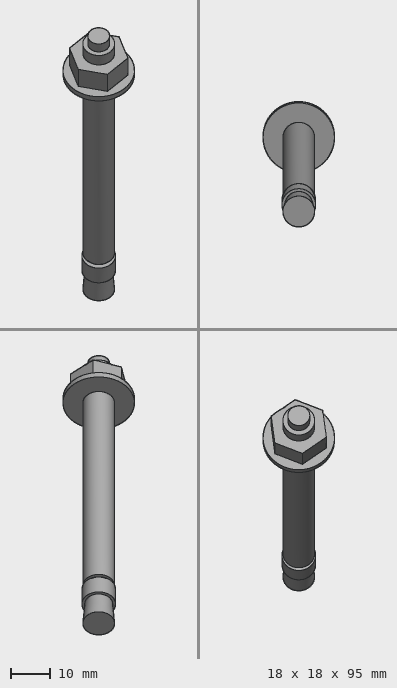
import cadquery as cq
import math

TOTAL_LENGTH = 95.0
SHANK_DIAMETER = 8.0

TIP_DIAMETER = 5.5
TIP_LENGTH = 2.9

WASHER_DIAMETER = 18.0
WASHER_THICKNESS = 1.6
WASHER_BASE_HEIGHT = 80.6

NUT_ACROSS_FLATS = 13.0
NUT_THICKNESS = 6.4

CONE_HEIGHT = 7.0
CONE_TOP_DIAMETER = 7.0

SLEEVE_DIAMETER = 8.5
SLEEVE_LENGTH = 5.5

NECK_DIAMETER = 6.2
NECK_LENGTH = 1.1

SLEEVE_TOP = CONE_HEIGHT + SLEEVE_LENGTH
SHANK_BASE = SLEEVE_TOP + NECK_LENGTH
SHANK_TOP = TOTAL_LENGTH - TIP_LENGTH
NUT_BASE = WASHER_BASE_HEIGHT + WASHER_THICKNESS


def cylinder(diameter, base, top):
    """Upright cylinder on the Z axis between two heights."""
    return cq.Workplane("XY").workplane(offset=base).circle(diameter / 2).extrude(top - base)


def expansion_cone():
    """Solid cone at the foot, widest at its bottom face."""
    return (
        cq.Workplane("XY")
        .circle(SHANK_DIAMETER / 2)
        .workplane(offset=CONE_HEIGHT)
        .circle(CONE_TOP_DIAMETER / 2)
        .loft(combine=True)
    )


def hex_nut():
    """Hexagonal nut with flats facing +X and -X."""
    across_corners = NUT_ACROSS_FLATS / math.cos(math.pi / 6)
    return (
        cq.Workplane("XY")
        .workplane(offset=NUT_BASE)
        .transformed(rotate=(0, 0, 90))
        .polygon(6, across_corners)
        .extrude(NUT_THICKNESS)
    )


result = (
    expansion_cone()
    .union(cylinder(SLEEVE_DIAMETER, CONE_HEIGHT, SLEEVE_TOP))
    .union(cylinder(NECK_DIAMETER, SLEEVE_TOP, SHANK_BASE))
    .union(cylinder(SHANK_DIAMETER, SHANK_BASE, SHANK_TOP))
    .union(cylinder(TIP_DIAMETER, SHANK_TOP, TOTAL_LENGTH))
    .union(cylinder(WASHER_DIAMETER, WASHER_BASE_HEIGHT, NUT_BASE))
    .union(hex_nut())
)